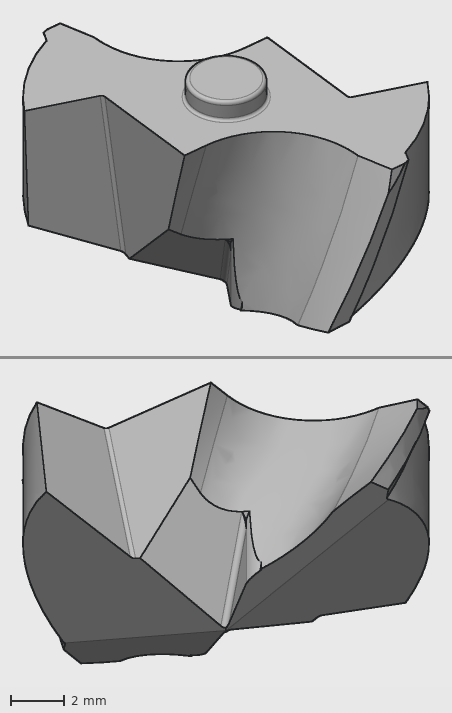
import cadquery as cq
import math

tip_z = -8.54
margin_radius = 7.94
body_radius = 7.6
reach = 31.74

flute_radius = 4.05
flute_center = (6.01, -2.54)
twist_rate = 4.159
lip_angle = 14.6
margin_end_angle = 20.8
relief_start_angle = 23.5
rim_flat_x = 7.5
rim_flat_slope = 0.35

notch_y = 3.55
notch_x = 2.94
notch_slope_y = 0.36
notch_slope_z = 0.19
notch_fillet = 0.16

primary_rise = (0.36, 0.115)
secondary_rise = (0.36, 0.388)
gash_rise = (1.15, -0.96)
gash_wall = (12.5, -8.5)
gash_fillet = 0.25
lip_blend_start = (1.94, -1.32)
lip_blend_mid = (2.27, -1.4)
lip_blend_end = (2.7, -1.38)

boss_radius = 1.52
boss_height = 0.85
boss_top_round = 0.16
boss_base_fillet = 0.13
boss_embed = 0.16


def polar(radius, degrees):
    angle = math.radians(degrees)
    return (radius * math.cos(angle), radius * math.sin(angle))


def opposite(point):
    return (-point[0], -point[1])


def half_space(origin, outward):
    """Large block on the inner side of a plane."""
    plane = cq.Plane(origin=origin, normal=outward)
    return cq.Workplane(plane).rect(2 * reach, 2 * reach).extrude(-reach)


def cut_both_halves(body, tool):
    return body.cut(tool).cut(tool.rotate((0, 0, 0), (0, 0, 1), 180))


def twisted_body():
    """Two wings between concave flutes, twisted from the deck to the tip."""
    flute_x = flute_center[0] - flute_radius
    flute_tail = (flute_x, -math.sqrt(body_radius**2 - flute_x**2))
    flute_start = (flute_x, flute_center[1])
    bend = polar(flute_radius, 135)
    flute_mid = (flute_center[0] + bend[0], flute_center[1] + bend[1])
    flute_end = (flute_center[0], flute_center[1] + flute_radius)
    outer = margin_radius
    lip = polar(outer, lip_angle)
    margin_mid = polar(outer, (lip_angle + margin_end_angle) / 2)
    margin_end = polar(outer, margin_end_angle)
    relief_start = polar(body_radius, relief_start_angle)
    relief_mid = polar(body_radius, 60)

    section = cq.Workplane("XY").moveTo(*flute_tail)
    for place in (lambda point: point, opposite):
        section = (
            section.lineTo(*place(flute_start))
            .threePointArc(place(flute_mid), place(flute_end))
            .lineTo(*place(lip))
            .threePointArc(place(margin_mid), place(margin_end))
            .lineTo(*place(relief_start))
            .threePointArc(place(relief_mid), place(opposite(flute_tail)))
        )
    return section.close().twistExtrude(tip_z, -twist_rate * tip_z)


def rim_flat_tool():
    """Leaning flat that trims the leading corner of the margin below the deck."""
    return half_space((rim_flat_x, 0, 0), (-1, 0, -rim_flat_slope))


def facet_tool(rise):
    """Everything below a plane through the tip."""
    return half_space((0, 0, tip_z), (-rise[0], -rise[1], 1))


def gash_tool():
    """Web-thinning notch: sloping floor meeting an upright wall in a rounded corner."""
    wall_normal = (-gash_wall[1], gash_wall[0], 0)
    floor_normal = (-gash_rise[0], -gash_rise[1], 1)
    corner = cq.Vector(*wall_normal).cross(cq.Vector(*floor_normal))
    tool = facet_tool(gash_rise).intersect(half_space((0, 0, tip_z), wall_normal))
    return tool.edges(cq.selectors.ParallelDirSelector(corner)).fillet(gash_fillet)


def lip_blend_tool():
    """Upright rounded cut under the gash floor that takes off the cusp beside the gash wall."""
    return (
        cq.Workplane("XY", origin=(0, 0, tip_z))
        .moveTo(*lip_blend_start)
        .threePointArc(lip_blend_mid, lip_blend_end)
        .lineTo(lip_blend_end[0], -notch_y)
        .lineTo(lip_blend_start[0], -notch_y)
        .close()
        .extrude(-tip_z)
        .intersect(facet_tool(gash_rise))
    )


def notch_tool():
    """Corner between the flat Y face and the leaning face of the wing."""
    wing_normal = (-1, notch_slope_y, -notch_slope_z)
    corner = cq.Vector(0, 1, 0).cross(cq.Vector(*wing_normal))
    origin = (-notch_x, -notch_y, 0)
    tool = half_space(origin, (0, 1, 0)).intersect(half_space(origin, wing_normal))
    return tool.edges(cq.selectors.ParallelDirSelector(corner)).fillet(notch_fillet)


def boss():
    """Round locating stub with a rounded top and a small fillet at its foot."""
    diagonal = math.sqrt(0.5)
    foot_radius = boss_radius + boss_base_fillet
    top_flat = boss_radius - boss_top_round
    shoulder = boss_height - boss_top_round
    return (
        cq.Workplane("XZ")
        .moveTo(0, -boss_embed)
        .lineTo(boss_radius, -boss_embed)
        .lineTo(boss_radius, 0)
        .lineTo(foot_radius, 0)
        .threePointArc((foot_radius - boss_base_fillet * diagonal, boss_base_fillet * (1 - diagonal)),
                       (boss_radius, boss_base_fillet))
        .lineTo(boss_radius, shoulder)
        .threePointArc((top_flat + boss_top_round * diagonal, shoulder + boss_top_round * diagonal),
                       (top_flat, boss_height))
        .lineTo(0, boss_height)
        .close()
        .revolve(360, (0, 0, 0), (0, 1, 0))
    )


head = twisted_body()
cutting_tools = (
    rim_flat_tool(),
    notch_tool(),
    facet_tool(primary_rise),
    facet_tool(secondary_rise),
    gash_tool(),
    lip_blend_tool(),
)
for cutting_tool in cutting_tools:
    head = cut_both_halves(head, cutting_tool)
result = head.union(boss())